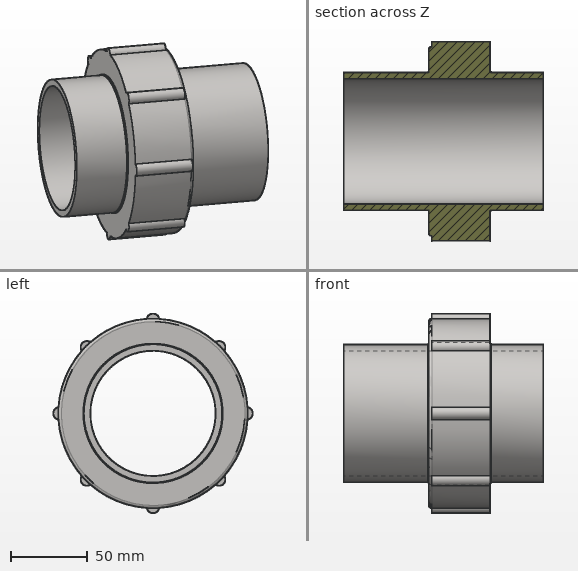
import cadquery as cq

length = 130.0
bore_diameter = 81.4
pipe_diameter = 90.0

collar_diameter = 91.0
collar_start = 54.9
collar_end = 96.2
collar_chamfer = (collar_diameter - pipe_diameter) / 2

nut_diameter = 123.5
nut_start = 55.4
nut_end = 95.3
nut_edge_radius = 2.0

rib_count = 8
rib_radius = 4.2
outer_diameter = 130.0
rib_start = nut_start + nut_edge_radius
rib_center_radius = outer_diameter / 2 - rib_radius


def cylinder(diameter, start, end):
    """Solid cylinder on the X axis between two stations measured from the left end."""
    plane = cq.Workplane("YZ", origin=(start - length / 2, 0, 0))
    return plane.circle(diameter / 2).extrude(end - start)


def grip_ribs():
    """Ring of round bars, half sunk into the nut."""
    return (
        cq.Workplane("YZ", origin=(rib_start - length / 2, 0, 0))
        .polarArray(rib_center_radius, 0, 360, rib_count)
        .circle(rib_radius)
        .extrude(nut_end - rib_start)
    )


pipe = cylinder(pipe_diameter, 0, length)
collar = (
    cylinder(collar_diameter, collar_start, collar_end)
    .edges("<X or >X")
    .chamfer(collar_chamfer)
)
nut = cylinder(nut_diameter, nut_start, nut_end).edges("<X").fillet(nut_edge_radius)
bore = cylinder(bore_diameter, 0, length)

result = pipe.union(collar).union(nut).union(grip_ribs()).cut(bore)